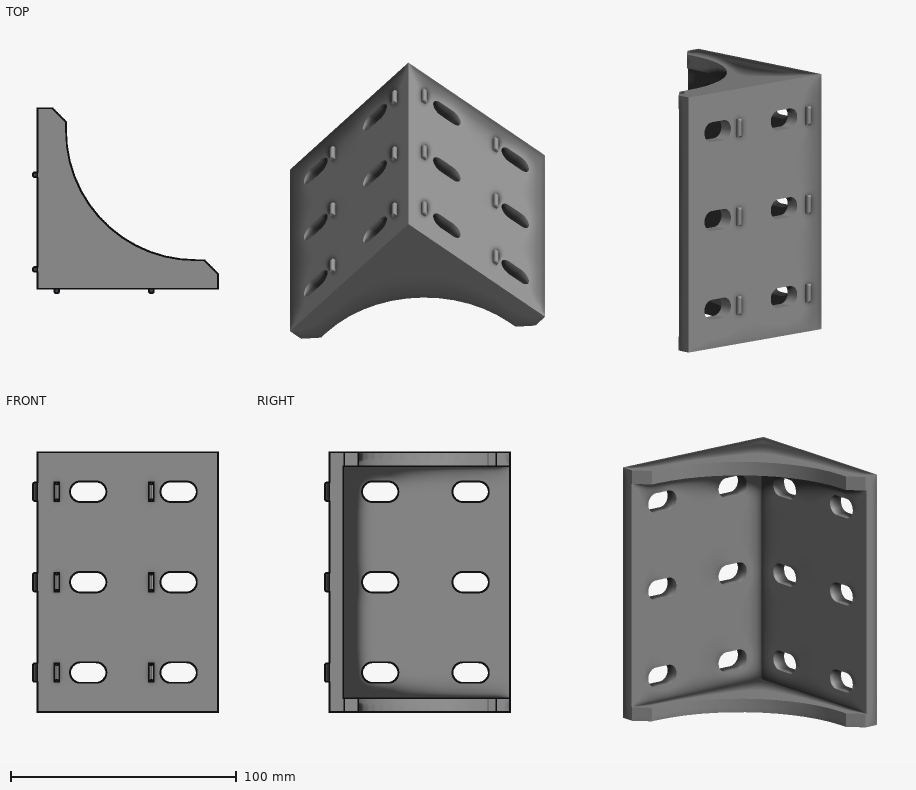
import cadquery as cq
import math

height = 115.0
leg = 80.0
wall = 6.2

rib_thickness = wall
rib_leg_depth = 12.8
rib_tip_chamfer = 6.2
rib_arc_radius = 57.3

slot_length = 16.0
slot_width = 9.0
slot_columns = (22.5, 62.6)
row_pitch = 40.0
row_heights = [height / 2 + row * row_pitch for row in (-1, 0, 1)]

tab_columns = (8.6, 50.5)
tab_length = 8.3
tab_width = 2.2
tab_height = 2.0
tab_tip_radius = 1.0


def make_rib(bottom):
    """Plate with chamfered leg tips and a concave inner edge."""
    arc_centre = rib_leg_depth + rib_arc_radius
    arc_middle = arc_centre - rib_arc_radius * math.cos(math.radians(45))
    tip_start = leg - rib_tip_chamfer
    tip_width = rib_leg_depth - rib_tip_chamfer
    return (
        cq.Workplane("XY", origin=(0, 0, bottom))
        .lineTo(leg, 0)
        .lineTo(leg, tip_width)
        .lineTo(tip_start, rib_leg_depth)
        .lineTo(arc_centre, rib_leg_depth)
        .threePointArc((arc_middle, arc_middle), (rib_leg_depth, arc_centre))
        .lineTo(rib_leg_depth, tip_start)
        .lineTo(tip_width, leg)
        .lineTo(0, leg)
        .close()
        .extrude(rib_thickness)
    )


def grid(columns):
    """Centre points of every row in each of the given columns."""
    return [(column, row) for column in columns for row in row_heights]


def make_slots():
    """Slot cutters that pass through the wall on the XZ plane."""
    return (
        cq.Workplane("XZ")
        .pushPoints(grid(slot_columns))
        .slot2D(slot_length, slot_width)
        .extrude(-wall)
    )


def make_tabs():
    """Tabs on the outer face of the wall on the XZ plane, rounded along all edges of their tips."""
    return (
        cq.Workplane("XZ")
        .pushPoints(grid(tab_columns))
        .rect(tab_width, tab_length)
        .extrude(tab_height)
        .faces("<Y")
        .edges()
        .fillet(tab_tip_radius)
    )


def on_both_walls(shape):
    """Join a shape on the XZ wall with its copy reflected onto the YZ wall."""
    other = shape.mirror("YZ").rotate((0, 0, 0), (0, 0, 1), -90)
    return shape.union(other)


plate = cq.Workplane("XY").box(leg, wall, height, centered=False)
result = (
    on_both_walls(plate)
    .union(make_rib(0))
    .union(make_rib(height - rib_thickness))
    .cut(on_both_walls(make_slots()))
    .union(on_both_walls(make_tabs()))
)